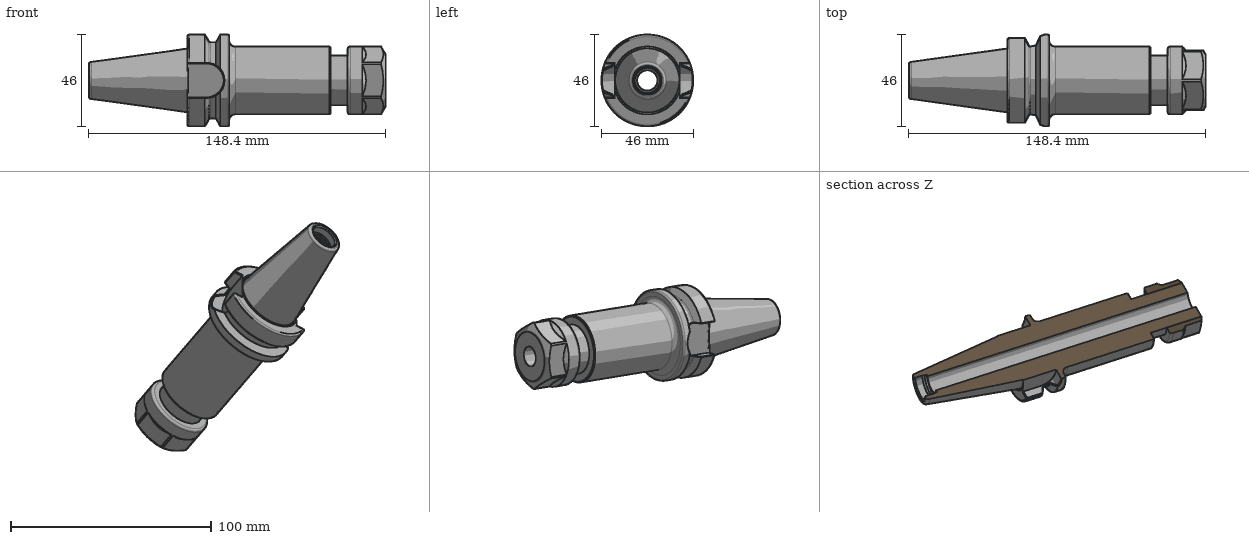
import cadquery as cq
import math

LENGTH = 148.4

TAPER_TIP_DIA = 18.7
TAPER_BASE_DIA = 32.0
TIP_ROUND = 1.3

FLANGE_DIA = 46.0
FLANGE_START = 49.3
FLANGE_END = 70.2
FLANGE_EDGE = 0.9
RELIEF_DIA = 34.0
RELIEF_DEPTH = 0.5

GROOVE_FLOOR_DIA = 38.3
GROOVE_START = 58.0
GROOVE_STOP = 65.7
GROOVE_FLANK_ANGLE = 30.0
GROOVE_ROOT_ROUND = 0.7

SLOT_WIDTH = 16.8
SLOT_END = 67.4
SLOT_FLOOR = 16.3
SLOT_EDGE = 0.5

BODY_DIA = 34.0
BODY_END = 120.8
BODY_FILLET = 3.0
BODY_EDGE = 0.6
NECK_DIA = 25.0

MOUTH_DIA = 14.5
PILOT_DIAS = [13.0, 12.8, 12.5]
PILOT_DEPTH = 4.5
STEP_LENGTH = 1.2
BORE_DIA = 10.1

NUT_DIA = 34.0
NUT_START = 129.3
NUT_EDGE_ROUND = 1.3
COLLAR_END = 136.5
HEX_FLATS = 30.0
NUT_CHAMFER_START = 146.0
NUT_CHAMFER_ANGLE = 30.0
NUT_FACE_ROUND = 0.7


def revolve_about_x(profile):
    """Turn a closed XY profile (Y = radius) about the X axis."""
    return profile.close().revolve(360, (0, 0, 0), (1, 0, 0))


def holder_blank():
    """Solid taper, flange, body and neck turned as one piece."""
    taper_tip = TAPER_TIP_DIA / 2
    flange = FLANGE_DIA / 2
    body = BODY_DIA / 2
    arc_mid = BODY_FILLET * (1 - math.sqrt(0.5))
    return revolve_about_x(
        cq.Workplane("XY")
        .moveTo(0, 0)
        .lineTo(0, taper_tip - TIP_ROUND)
        .radiusArc((TIP_ROUND, taper_tip), TIP_ROUND)
        .lineTo(FLANGE_START, TAPER_BASE_DIA / 2)
        .lineTo(FLANGE_START, flange - FLANGE_EDGE)
        .radiusArc((FLANGE_START + FLANGE_EDGE, flange), FLANGE_EDGE)
        .lineTo(FLANGE_END - FLANGE_EDGE, flange)
        .radiusArc((FLANGE_END, flange - FLANGE_EDGE), FLANGE_EDGE)
        .lineTo(FLANGE_END, body + BODY_FILLET)
        .threePointArc((FLANGE_END + arc_mid, body + arc_mid), (FLANGE_END + BODY_FILLET, body))
        .lineTo(BODY_END - BODY_EDGE, body)
        .lineTo(BODY_END, body - BODY_EDGE)
        .lineTo(BODY_END, NECK_DIA / 2)
        .lineTo(LENGTH, NECK_DIA / 2)
        .lineTo(LENGTH, 0)
    )


def v_groove():
    """Gripper groove cut around the flange rim."""
    rim = FLANGE_DIA / 2
    floor = GROOVE_FLOOR_DIA / 2
    flank = math.radians(GROOVE_FLANK_ANGLE)
    flank_run = (rim - floor) * math.tan(flank)
    root = GROOVE_START + flank_run
    tangent = GROOVE_ROOT_ROUND * math.tan((math.pi / 2 - flank) / 2)
    clear_rim = FLANGE_DIA
    return revolve_about_x(
        cq.Workplane("XY")
        .moveTo(GROOVE_START, clear_rim)
        .lineTo(GROOVE_START, rim)
        .lineTo(root - tangent * math.sin(flank), floor + tangent * math.cos(flank))
        .radiusArc((root + tangent, floor), -GROOVE_ROOT_ROUND)
        .lineTo(GROOVE_STOP - flank_run, floor)
        .lineTo(GROOVE_STOP, rim)
        .lineTo(GROOVE_STOP, clear_rim)
    )


def face_relief():
    """Shallow ring recess in the flange face around the taper base."""
    return (
        cq.Workplane("YZ", origin=(FLANGE_START, 0, 0))
        .circle(RELIEF_DIA / 2)
        .circle(TAPER_BASE_DIA / 2)
        .extrude(RELIEF_DEPTH)
    )


def drive_slot(side):
    """Round-ended slot on the +Y (side = 1) or -Y (side = -1) flank."""
    half_width = SLOT_WIDTH / 2
    arc_start = SLOT_END - half_width
    return (
        cq.Workplane("XZ", origin=(0, side * SLOT_FLOOR, 0))
        .moveTo(FLANGE_START, -half_width)
        .lineTo(arc_start, -half_width)
        .threePointArc((SLOT_END, 0), (arc_start, half_width))
        .lineTo(FLANGE_START, half_width)
        .close()
        .extrude(-side * FLANGE_DIA / 2)
    )


def stud_socket():
    """Countersunk pilot bore that narrows in small steps to the through hole."""
    profile = cq.Workplane("XY").moveTo(0, 0).lineTo(0, MOUTH_DIA / 2)
    step_start = (MOUTH_DIA - PILOT_DIAS[0]) / 2
    for index, dia in enumerate(PILOT_DIAS):
        step_end = PILOT_DEPTH + index * STEP_LENGTH
        profile = profile.lineTo(step_start, dia / 2).lineTo(step_end, dia / 2)
        step_start = step_end
    profile = profile.lineTo(step_start, BORE_DIA / 2)
    return revolve_about_x(profile.lineTo(LENGTH, BORE_DIA / 2).lineTo(LENGTH, 0))


def slot_mouth(side):
    """Box around the outer edges of one drive slot, clear of its floor and front face."""
    margin = SLOT_EDGE / 3
    reach = SLOT_WIDTH / 2 + margin
    return cq.selectors.BoxSelector(
        (FLANGE_START + margin, side * (SLOT_FLOOR + margin), -reach),
        (SLOT_END, side * FLANGE_DIA, reach),
    )


def make_holder():
    holder = holder_blank().cut(v_groove()).cut(face_relief())
    for side in (-1, 1):
        holder = holder.cut(drive_slot(side))
        holder = holder.edges(slot_mouth(side)).chamfer(SLOT_EDGE)
    return holder.cut(stud_socket())


def nut_collar():
    """Round collar with a 45 degree shoulder running into the hexagon."""
    rim = NUT_DIA / 2
    shoulder = rim - HEX_FLATS / 2
    return revolve_about_x(
        cq.Workplane("XY")
        .moveTo(NUT_START, 0)
        .lineTo(NUT_START, rim - NUT_EDGE_ROUND)
        .radiusArc((NUT_START + NUT_EDGE_ROUND, rim), NUT_EDGE_ROUND)
        .lineTo(COLLAR_END, rim)
        .lineTo(COLLAR_END + shoulder, rim - shoulder)
        .lineTo(COLLAR_END + shoulder, 0)
    )


def nut_hexagon():
    """Hexagon with corners turned down to the collar diameter and a chamfered front."""
    rim = NUT_DIA / 2
    chamfer_drop = (LENGTH - NUT_CHAMFER_START) / math.tan(math.radians(NUT_CHAMFER_ANGLE))
    turned = revolve_about_x(
        cq.Workplane("XY")
        .moveTo(COLLAR_END, 0)
        .lineTo(COLLAR_END, rim)
        .lineTo(NUT_CHAMFER_START, rim)
        .lineTo(LENGTH, rim - chamfer_drop)
        .lineTo(LENGTH, 0)
    )
    turned = turned.faces(">X").edges().fillet(NUT_FACE_ROUND)
    hexagon = (
        cq.Workplane("YZ", origin=(COLLAR_END, 0, 0))
        .polygon(6, HEX_FLATS, circumscribed=True)
        .extrude(LENGTH - COLLAR_END)
    )
    return hexagon.intersect(turned)


def make_nut():
    neck_hole = cq.Workplane("YZ").circle(NECK_DIA / 2).extrude(LENGTH)
    return nut_collar().union(nut_hexagon()).cut(neck_hole)


holder = make_holder()
nut = make_nut()
result = cq.Compound.makeCompound([holder.val(), nut.val()])